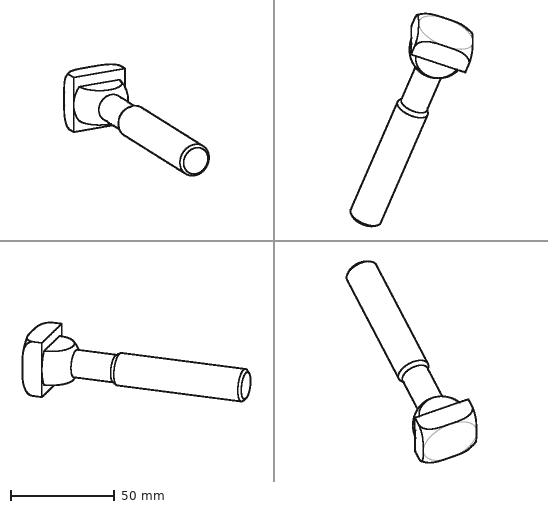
import cadquery as cq
import math

total_length = 110.0
head_width = 28.0
head_thickness = 10.1

ball_radius = head_width / 2
collar_height = 17.6

neck_diameter = 13.5
shank_diameter = 16.0
shoulder_start = 42.8
shoulder_length = 2.1
end_chamfer = 1.3


def rounded_head():
    """Square head whose corners are rounded over toward the outer face."""
    face_radius = head_width / 2
    corner_radius = head_width / math.sqrt(2)
    round_radius = corner_radius - face_radius
    arc_offset = round_radius * math.sqrt(0.5)
    arc_middle = (round_radius - arc_offset, face_radius + arc_offset)
    square = cq.Workplane("YZ").rect(head_width, head_width).extrude(head_thickness)
    envelope = (
        cq.Workplane("XY")
        .lineTo(0, face_radius)
        .threePointArc(arc_middle, (round_radius, corner_radius))
        .lineTo(head_thickness, corner_radius)
        .lineTo(head_thickness, 0)
        .close()
        .revolve(360, (0, 0), (1, 0))
    )
    return square.intersect(envelope)


def ball_collar():
    """Half ball centred on the back of the head, cut to the collar height."""
    ball = cq.Workplane("XY").sphere(ball_radius)
    slab = cq.Workplane("XY").box(
        ball_radius, head_width, collar_height, centered=(False, True, True)
    )
    return ball.intersect(slab).translate((head_thickness, 0, 0))


def stepped_shank():
    """Neck, conical shoulder and full-diameter shank with a chamfered end."""
    neck_radius = neck_diameter / 2
    shank_radius = shank_diameter / 2
    return (
        cq.Workplane("XY")
        .moveTo(head_thickness, 0)
        .lineTo(head_thickness, neck_radius)
        .lineTo(shoulder_start, neck_radius)
        .lineTo(shoulder_start + shoulder_length, shank_radius)
        .lineTo(total_length - end_chamfer, shank_radius)
        .lineTo(total_length, shank_radius - end_chamfer)
        .lineTo(total_length, 0)
        .close()
        .revolve(360, (0, 0), (1, 0))
    )


result = rounded_head().union(ball_collar()).union(stepped_shank())